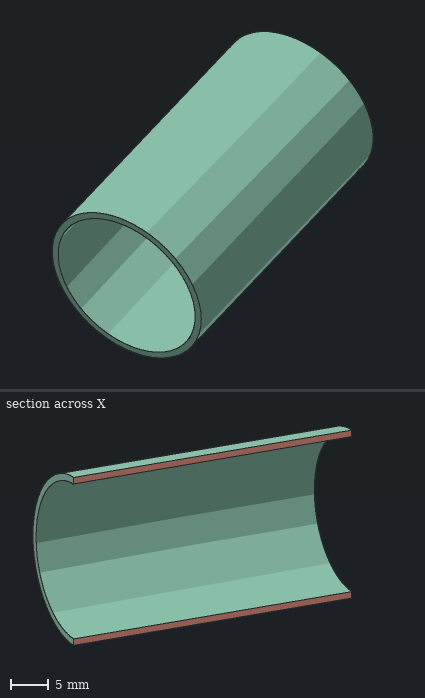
import cadquery as cq

length = 42.0
outer_diameter = 24.0
inner_diameter = 22.0

result = (
    cq.Workplane("XZ", origin=(0, length / 2, 0))
    .circle(outer_diameter / 2)
    .circle(inner_diameter / 2)
    .extrude(length)
)